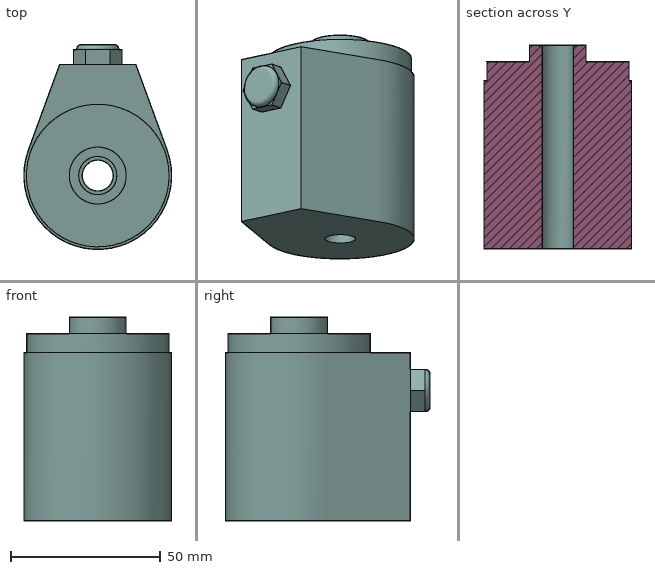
import cadquery as cq

overall_depth = 68.55
body_radius = 24.75
body_height = 56.3
block_face_y = 37.2
block_face_half_width = 12.75

cover_radius = 23.85
cover_top = 62.6
boss_radius = 9.5
boss_top = 68.15

bore_radius = 5.15
sleeve_radius = 6.4
sleeve_recess = 0.15

gland_z = 43.6
hex_across_corners = 16.4
hex_length = 4.9
cap_radius = 7.05
cap_end_y = overall_depth - body_radius
cap_rounding = 1.5


def tangent_point():
    """Point where the block's right side touches the body circle."""
    corner_squared = block_face_half_width**2 + block_face_y**2
    along = body_radius**2 / corner_squared
    across = body_radius * (corner_squared - body_radius**2) ** 0.5 / corner_squared
    return (
        along * block_face_half_width + across * block_face_y,
        along * block_face_y - across * block_face_half_width,
    )


def cylinder(radius, bottom, top):
    return cq.Workplane("XY").workplane(offset=bottom).circle(radius).extrude(top - bottom)


def make_body():
    tangent_x, tangent_y = tangent_point()
    return (
        cq.Workplane("XY")
        .moveTo(-block_face_half_width, block_face_y)
        .lineTo(block_face_half_width, block_face_y)
        .lineTo(tangent_x, tangent_y)
        .threePointArc((0, -body_radius), (-tangent_x, tangent_y))
        .close()
        .extrude(body_height)
    )


def gland_plane(y):
    """Plane at the given Y whose normal points out of the block along +Y."""
    return cq.Workplane(cq.Plane(origin=(0, y, gland_z), xDir=(1, 0, 0), normal=(0, 1, 0)))


def make_gland():
    hex_end_y = block_face_y + hex_length
    hexagon = gland_plane(block_face_y).polygon(6, hex_across_corners).extrude(hex_length)
    cap = (
        gland_plane(hex_end_y)
        .circle(cap_radius)
        .extrude(cap_end_y - hex_end_y)
        .faces(">Y")
        .edges()
        .fillet(cap_rounding)
    )
    return hexagon.union(cap)


result = (
    make_body()
    .union(cylinder(cover_radius, body_height, cover_top))
    .union(cylinder(boss_radius, cover_top, boss_top))
    .union(make_gland())
    .cut(cylinder(sleeve_radius, boss_top - sleeve_recess, boss_top))
    .cut(cylinder(bore_radius, 0, boss_top))
)